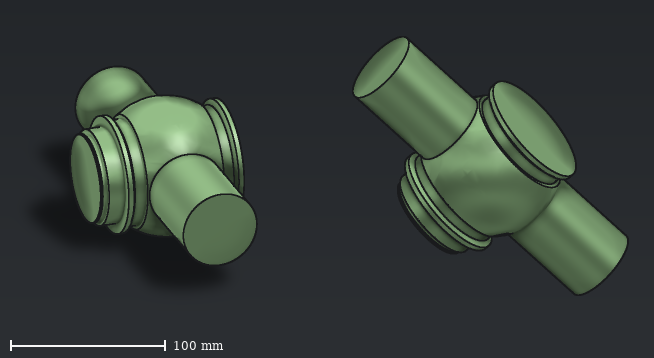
import cadquery as cq

pipe_length = 204.0
pipe_radius = 50.8 / 2
pipe_root_fillet = 1.0

ball_diameter = 92.0
ball_half_width = 26.3

neck_radius = 70.0 / 2
neck_root_fillet = 1.0
flange_radius = 77.5 / 2
flange_face = 39.8
flange_thickness = 3.7
flange_bevel_length = 2.0

plug_radius = 63.5 / 2
plug_root_fillet = 0.6
plug_length = 11.0
nose_end = 55.7
nose_radius = 57.3 / 2
nose_root_fillet = 1.6
lip_radius = 58.7 / 2
lip_length = 1.6
lip_chamfer = 0.5


def revolve_about_y(outline):
    """Close an outline drawn in the XY plane and spin it about the Y axis."""
    return outline.close().revolve(360, (0, 0, 0), (0, 1, 0))


def flanged_neck():
    """Neck toward -Y ending in a flange with a bevelled back."""
    bevel_end = flange_face - flange_thickness
    bevel_start = bevel_end - flange_bevel_length
    outline = cq.Workplane("XY").polyline([
        (0, 0),
        (neck_radius, 0),
        (neck_radius, -bevel_start),
        (flange_radius, -bevel_end),
        (flange_radius, -flange_face),
        (0, -flange_face),
    ])
    return revolve_about_y(outline)


def filleted_post(radius, base, end, fillet):
    """Round post toward -Y with a concave fillet where it leaves its base face."""
    outline = (
        cq.Workplane("XY")
        .moveTo(0, 0)
        .lineTo(radius + fillet, 0)
        .lineTo(radius + fillet, -base)
        .radiusArc((radius, -base - fillet), -fillet)
        .lineTo(radius, -end)
        .lineTo(0, -end)
    )
    return revolve_about_y(outline)


def front_plug():
    """Plug on the front flange, with a narrower nose ending in a chamfered lip."""
    plug_end = flange_face + plug_length
    plug = filleted_post(plug_radius, flange_face, plug_end, plug_root_fillet)
    nose = filleted_post(nose_radius, plug_end, nose_end, nose_root_fillet)
    lip = cq.Workplane("XZ", origin=(0, -nose_end, 0)).circle(lip_radius).extrude(-lip_length)
    lip = lip.faces("<Y or >Y").chamfer(lip_chamfer)
    return plug.union(nose).union(lip)


def ball_with_pipe():
    """Ball trimmed flat across Y, crossed by the pipe and filleted at its -X root."""
    ball = cq.Workplane("XY").sphere(ball_diameter / 2)
    ball = ball.intersect(cq.Workplane("XY").box(ball_diameter, 2 * ball_half_width, ball_diameter))
    pipe = cq.Workplane("YZ").circle(pipe_radius).extrude(pipe_length / 2, both=True)
    root_finder = cq.selectors.BoxSelector(
        (-ball_diameter / 2, -pipe_radius, -pipe_radius),
        (-ball_diameter / 3, pipe_radius, pipe_radius),
    )
    return ball.union(pipe).edges(root_finder).edges("not %LINE").fillet(pipe_root_fillet)


back_neck = flanged_neck().mirror("XZ")
front_neck = flanged_neck().union(
    filleted_post(neck_radius, ball_half_width, flange_face, neck_root_fillet)
)

result = ball_with_pipe().union(front_neck).union(back_neck).union(front_plug())